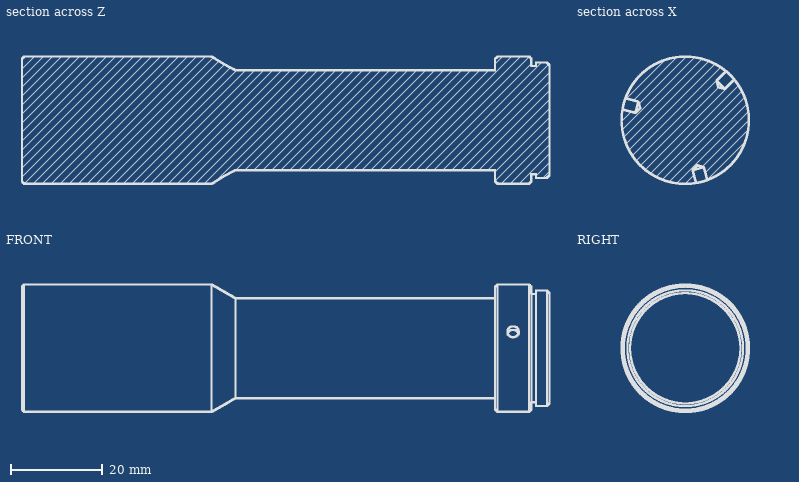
import cadquery as cq
import math

full_turn = 360.0

total_length = 115.7

head_radius = 14.0
head_length = 41.6
head_chamfer = 0.5
barrel_radius = 11.0
taper_angle = 30.0
taper_length = (head_radius - barrel_radius) / math.tan(math.radians(taper_angle))

ring_radius = head_radius
ring_width = 8.0
ring_chamfer = 0.6
ring_rear_chamfer = 0.5

spigot_radius = 12.7
spigot_length = 3.0
spigot_chamfer = 0.6
groove_radius = 11.9
groove_width = 1.0

screw_count = 3
screw_diameter = 2.5
screw_depth = 3.0
screw_tip_angle = 118.0
first_screw_angle = 45.0

spigot_start = total_length - spigot_length
ring_end = spigot_start - groove_width
ring_start = ring_end - ring_width
ring_middle = (ring_start + ring_end) / 2


def make_body():
    """Revolve the half profile (X, Z) about the X axis."""
    profile = (
        cq.Workplane("XZ")
        .moveTo(0, 0)
        .lineTo(0, head_radius - head_chamfer)
        .lineTo(head_chamfer, head_radius)
        .lineTo(head_length, head_radius)
        .lineTo(head_length + taper_length, barrel_radius)
        .lineTo(ring_start, barrel_radius)
        .lineTo(ring_start, ring_radius - ring_chamfer)
        .lineTo(ring_start + ring_chamfer, ring_radius)
        .lineTo(ring_end - ring_rear_chamfer, ring_radius)
        .lineTo(ring_end, ring_radius - ring_rear_chamfer)
        .lineTo(ring_end, groove_radius)
        .lineTo(spigot_start, groove_radius)
        .lineTo(spigot_start, spigot_radius)
        .lineTo(total_length - spigot_chamfer, spigot_radius)
        .lineTo(total_length, spigot_radius - spigot_chamfer)
        .lineTo(total_length, 0)
        .close()
    )
    return profile.revolve(full_turn, (0, 0, 0), (1, 0, 0))


def make_screw_hole(angle):
    """Radial drilled hole with a conical bottom, at an angle from +Y toward +Z."""
    hole_radius = screw_diameter / 2
    tip_length = hole_radius / math.tan(math.radians(screw_tip_angle / 2))
    floor = ring_radius - screw_depth
    drill = (
        cq.Workplane("XY")
        .moveTo(ring_middle, floor - tip_length)
        .lineTo(ring_middle + hole_radius, floor)
        .lineTo(ring_middle + hole_radius, ring_radius)
        .lineTo(ring_middle, ring_radius)
        .close()
        .revolve(full_turn, (ring_middle, 0, 0), (ring_middle, 1, 0))
    )
    return drill.rotate((0, 0, 0), (1, 0, 0), angle)


result = make_body()
for index in range(screw_count):
    result = result.cut(make_screw_hole(first_screw_angle + index * full_turn / screw_count))